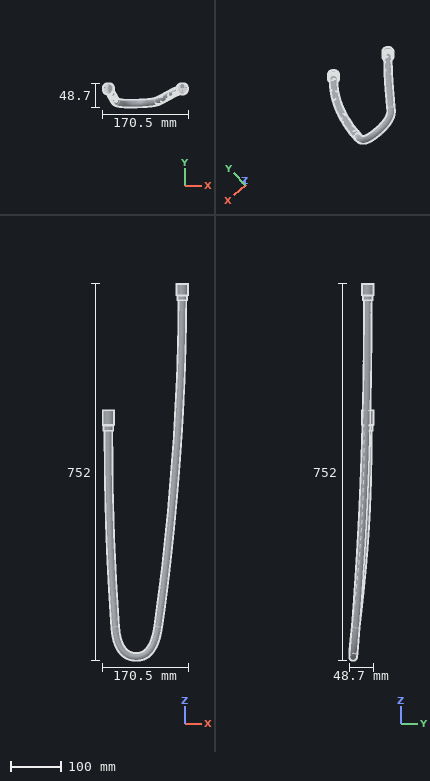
import cadquery as cq

hose_diameter = 16.0
overall_height = 752.0
lowest_z = hose_diameter / 2

head_diameter = 23.0
collar_diameter = 19.5
edge_chamfer = 1.5
short_head_length = 24.0
short_collar_length = 9.0
long_head_length = 31.0
long_collar_length = 10.5

left_x = 0.0
left_top_z = 500.0
right_x = 147.5
right_top_z = overall_height
left_hose_end = (left_x, 0, left_top_z - long_head_length - long_collar_length)
right_hose_end = (right_x, 0, right_top_z - short_head_length - short_collar_length)

left_mid = (3.0, -5.0, 266.0)
left_joint = (13.5, -24.0, 68.0)
bend_bottom = (55.0, -29.0, lowest_z)
right_joint = (99.0, -24.0, 68.0)
right_mid = (123.0, -11.0, 266.0)

down = (0, 0, -1)
up = (0, 0, 1)
into_bend = (0.07, -0.12, -1)
out_of_bend = (0.15, 0.075, 1)


def guide_curve(points, start_direction, end_direction):
    """Smooth centreline stretch with fixed directions at both ends."""
    vectors = [cq.Vector(*point) for point in points]
    tangents = [cq.Vector(*start_direction), cq.Vector(*end_direction)]
    return cq.Edge.makeSpline(vectors, tangents=tangents)


def make_hose():
    """Solid round hose: left leg, U-bend and right leg."""
    left_leg = guide_curve([left_hose_end, left_mid, left_joint], down, into_bend)
    bend = guide_curve([left_joint, bend_bottom, right_joint], into_bend, out_of_bend)
    right_leg = guide_curve([right_joint, right_mid, right_hose_end], out_of_bend, up)
    centreline = cq.Wire.assembleEdges([left_leg, bend, right_leg])
    section = cq.Workplane("XY", origin=left_hose_end).circle(hose_diameter / 2)
    return section.sweep(cq.Workplane(centreline))


def make_fitting(x, top_z, head_length, collar_length):
    """End fitting whose collar rests on the flat end of the hose."""
    collar_bottom_z = top_z - head_length - collar_length
    head = (
        cq.Workplane("XY", origin=(x, 0, top_z - head_length))
        .circle(head_diameter / 2)
        .extrude(head_length)
        .faces("<Z")
        .chamfer(edge_chamfer)
    )
    collar = (
        cq.Workplane("XY", origin=(x, 0, collar_bottom_z))
        .circle(collar_diameter / 2)
        .extrude(collar_length)
    )
    return head.union(collar)


hose = make_hose()
fittings = []
for x, top_z, head_length, collar_length in [
    (left_x, left_top_z, long_head_length, long_collar_length),
    (right_x, right_top_z, short_head_length, short_collar_length),
]:
    fittings.append(make_fitting(x, top_z, head_length, collar_length).val())

result = cq.Compound.makeCompound([hose.val(), *fittings])